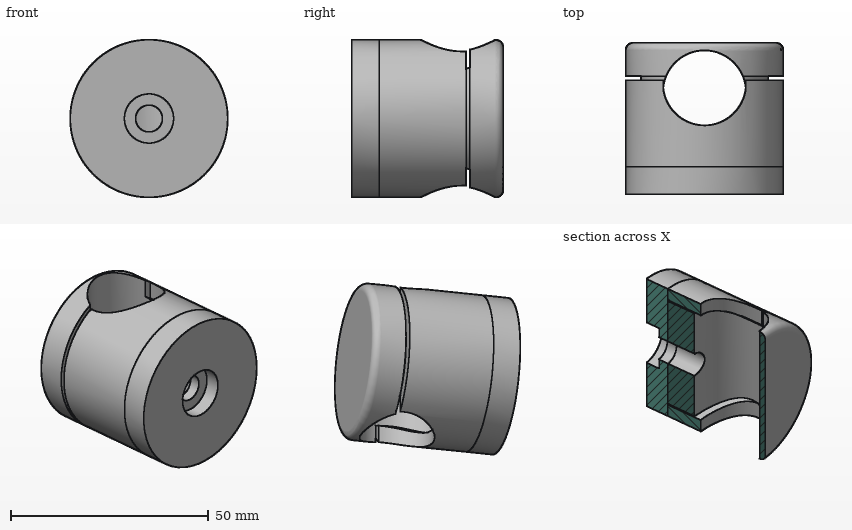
import cadquery as cq


outer_radius = 20.0
core_radius = 16.15
core_clearance = 0.15
base_thickness = 7.0
sleeve_length = 22.0
parting_gap = 1.0
cap_head_length = 8.5
cap_edge_radius = 2.0
bore_radius = 10.5
bore_squeeze = 1.0
bore_axis_y = 27.0
screw_hole_radius = 3.4
screw_head_radius = 6.25
screw_head_depth = 4.0

sleeve_end_y = base_thickness + sleeve_length
cap_start_y = sleeve_end_y + parting_gap
sleeve_bore_y = bore_axis_y + bore_squeeze
cap_bore_y = bore_axis_y - bore_squeeze
bore_height = 2 * outer_radius


def disc(radius, start_y, length):
    """Solid cylinder along +Y that begins at start_y."""
    plane = cq.Workplane("XZ", origin=(0, start_y, 0))
    return plane.circle(radius).extrude(-length)


def rod_bore(center_y):
    """Vertical round cutter that reaches through the full diameter."""
    plane = cq.Workplane("XY", origin=(0, center_y, -bore_height / 2))
    return plane.circle(bore_radius).extrude(bore_height)


def make_base():
    """Round base plate with a counterbored screw hole."""
    plate = disc(outer_radius, 0, base_thickness)
    screw_hole = disc(screw_hole_radius, 0, base_thickness)
    head_recess = disc(screw_head_radius, 0, screw_head_depth)
    return plate.cut(screw_hole).cut(head_recess)


def make_sleeve():
    """Tube around the core, with a U-shaped rod seat open toward the cap."""
    tube = disc(outer_radius, base_thickness, sleeve_length)
    core_opening = disc(core_radius + core_clearance, base_thickness, sleeve_length)
    straight_length = sleeve_end_y - sleeve_bore_y
    seat_sides = cq.Workplane("XY").box(
        2 * bore_radius, straight_length, bore_height, centered=(True, False, True)
    ).translate((0, sleeve_bore_y, 0))
    return tube.cut(core_opening).cut(rod_bore(sleeve_bore_y)).cut(seat_sides)


def make_cap():
    """Rounded cap head with a core that reaches through the sleeve to the base."""
    head = disc(outer_radius, cap_start_y, cap_head_length)
    head = head.faces(">Y").edges().fillet(cap_edge_radius)
    core = disc(core_radius, base_thickness, cap_start_y - base_thickness)
    screw_hole = disc(screw_hole_radius, base_thickness, cap_bore_y - base_thickness)
    return head.union(core).cut(rod_bore(cap_bore_y)).cut(screw_hole)


base = make_base()
sleeve = make_sleeve()
cap = make_cap()

result = cq.Compound.makeCompound([base.val(), sleeve.val(), cap.val()])